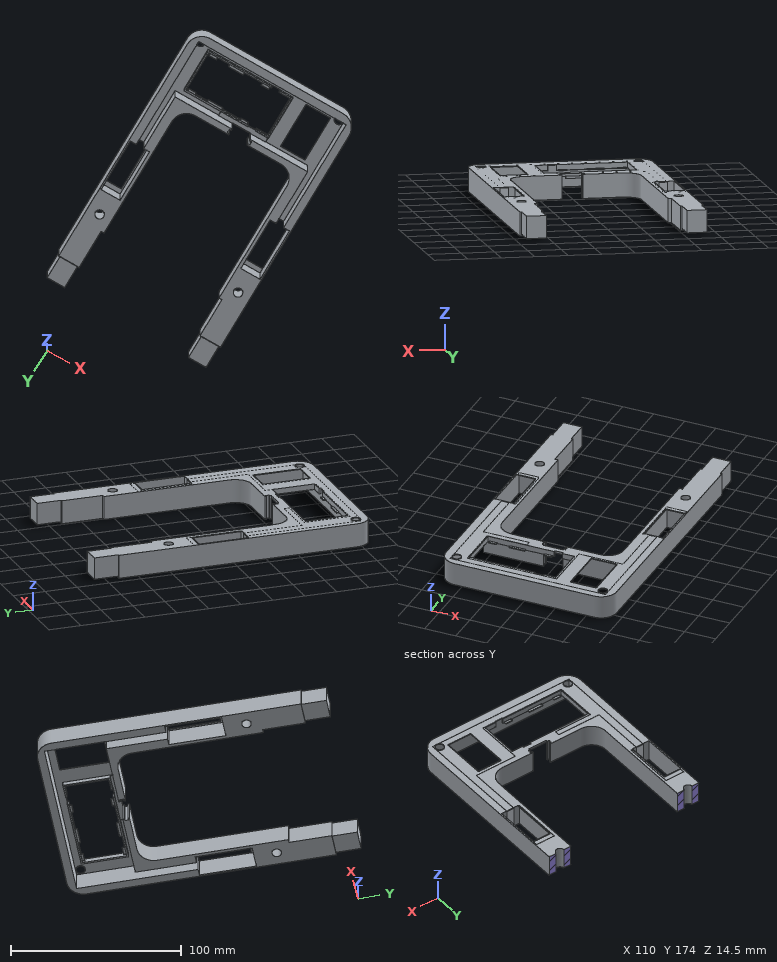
import cadquery as cq

width = 110.0
length = 174.0
height = 14.5
corner_radius = 10.0
skin = 0.5
outer_wall = 5.0
half_width = width / 2
ceiling = height - skin

arm_width = 16.0
bay_floor = 45.0
bay_wall = 4.0
relief_depth = 2.0
relief_length = 40.5

tongue_width = 12.0
tongue_length = 15.0
tongue_height = 13.5
tongue_inset = 1.0

hole_diameter = 5.5
hole_inset = 8.0
hole_pitch = 117.0

window_start = 77.5
window_length = 31.0
pocket_width = 13.0
pocket_length = 34.0
channel_width = 5.0

opening_left = -40.0
opening_start = 10.5
opening_width = 55.5
opening_length = 26.25
rim_width = 1.0
rim_depth = 3.0
rim_bottom = ceiling - rim_depth

tab_pairs = [(1.0, 5.0), (14.2, 10.0), (36.5, 5.0)]
tab_reach = 1.5
tab_thickness = 0.5
key_offset = 42.5
key_width = 5.25
key_depth = rim_width

small_left = 25.5
small_start = 9.5
small_width = 16.5
small_length = 29.5

slot_mouth = 12.5
slot_width = 15.0
slot_lip = 1.0
bridge_left = -15.5
bridge_thickness = 1.0


def block(x, y, z, dx, dy, dz):
    """Box with its lowest corner at (x, y, z)."""
    return cq.Workplane("XY").box(dx, dy, dz, centered=False).translate((x, y, z))


def both_arms(left):
    """A solid of the left arm together with its mirror image in the right arm."""
    return left.union(left.mirror("YZ"))


def make_frame():
    """Solid U with rounded corners, stepped arms and end tongues."""
    body = block(-half_width, 0, 0, width, length - tongue_length, height)
    body = body.edges("|Z and <Y").fillet(corner_radius)
    bay_width = width - 2 * arm_width
    bay = block(-bay_width / 2, bay_floor, 0, bay_width, length - bay_floor, height)
    bay = bay.edges("|Z and <Y").fillet(corner_radius)
    relief = block(
        -bay_width / 2 - relief_depth, length - relief_length, 0, relief_depth, relief_length, height
    )
    tongue = block(
        -half_width + tongue_inset,
        length - tongue_length,
        height - tongue_height,
        tongue_width,
        tongue_length,
        tongue_height,
    )
    return body.cut(bay).cut(both_arms(relief)).union(both_arms(tongue))


def make_hollow():
    """Space below the skin: main chamber, channels and arm pockets."""
    chamber_length = bay_floor - bay_wall - outer_wall
    chamber = block(-half_width + outer_wall, outer_wall, 0, width - 2 * outer_wall, chamber_length, ceiling)
    channel = block(
        -half_width + outer_wall, outer_wall, 0, channel_width, window_start - outer_wall, ceiling
    )
    pocket = block(-half_width + tongue_inset, window_start, 0, pocket_width, pocket_length, ceiling)
    return chamber.union(both_arms(channel)).union(both_arms(pocket))


def make_windows():
    return both_arms(
        block(-half_width + tongue_inset, window_start, 0, tongue_width, window_length, height)
    )


def make_holes():
    x = half_width - hole_inset
    points = [(sx * x, y) for sx in (-1, 1) for y in (hole_inset, hole_inset + hole_pitch)]
    return cq.Workplane("XY").pushPoints(points).circle(hole_diameter / 2).extrude(height)


def make_rim():
    """Collar around the large opening and the bridge joining it to the bay wall."""
    rim = block(
        opening_left - rim_width,
        opening_start - rim_width,
        rim_bottom,
        opening_width + 2 * rim_width,
        opening_length + 2 * rim_width,
        rim_depth,
    )
    rim_back = opening_start + opening_length + rim_width
    bridge_right = opening_left + opening_width + rim_width
    bridge = block(
        bridge_left,
        rim_back,
        ceiling - bridge_thickness,
        bridge_right - bridge_left,
        bay_floor - bay_wall - rim_back,
        bridge_thickness,
    )
    return rim.union(bridge)


def make_opening():
    """Large opening with one key notch on each long side."""
    opening = block(opening_left, opening_start, 0, opening_width, opening_length, height)
    keys = block(
        opening_left + key_offset,
        opening_start - key_depth,
        0,
        key_width,
        opening_length + 2 * key_depth,
        height,
    )
    return opening.union(keys)


def make_tabs(offset, tab_width):
    """A pair of facing tabs, rooted in the rim and flush with its underside."""
    tab_length = rim_width + tab_reach
    front = opening_start - rim_width
    back = opening_start + opening_length - tab_reach
    tabs = cq.Workplane("XY")
    for y in (front, back):
        tabs = tabs.union(block(opening_left + offset, y, rim_bottom, tab_width, tab_length, tab_thickness))
    return tabs


def make_small_opening():
    return block(small_left, small_start, 0, small_width, small_length, height)


def make_slot():
    mouth = block(-slot_mouth / 2, bay_floor - bay_wall, 0, slot_mouth, bay_wall, height)
    groove = block(
        -slot_width / 2, bay_floor - bay_wall + slot_lip, 0, slot_width, bay_wall - 2 * slot_lip, height
    )
    return mouth.union(groove)


result = make_frame().cut(make_hollow()).union(make_rim())
result = result.cut(make_opening())
for tab_offset, tab_width in tab_pairs:
    result = result.union(make_tabs(tab_offset, tab_width))
result = result.cut(make_small_opening()).cut(make_windows()).cut(make_holes()).cut(make_slot())